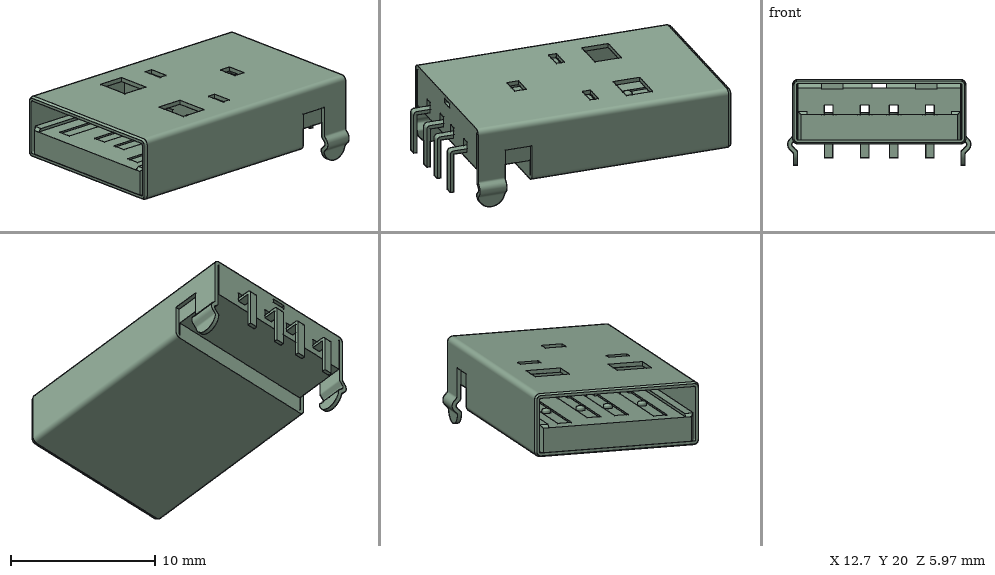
import cadquery as cq
import math


shell_width = 12.01
shell_height = 4.48
shell_length = 18.8
wall = 0.3
corner_radius = 0.4
mouth_bevel_length = 0.2
mouth_bevel_height = 0.1
floor_length = 14.81
side_cut_depth = 1.8
inner_width = shell_width - 2 * wall
inner_bottom = shell_height - wall

latch_x, latch_front, latch_width, latch_length = 3.0, 5.17, 2.5, 1.96
slot_x, slot_front, slot_width, slot_length = 3.25, 9.1, 1.5, 0.6
center_front, center_width, center_length = 13.2, 1.5, 0.86

side_clearance = 0.06
housing_width = inner_width - 2 * side_clearance
tongue_front = 0.05
tongue_depth = 2.45
tongue_bevel_width = 0.22
tongue_bevel_length = 0.32
rail_width = 0.65
rail_height = 0.2
rail_bevel_length = 0.25
block_front = 8.69
block_lead_length = 0.48
block_lead_depth = 0.3
block_bottom = 3.06
keyway_width = 1.0
pocket_margin = 0.32
lead_notch_back = block_front + block_lead_length
lead_notch_depth = 0.66

contact_positions = (-3.5, -1.0, 1.0, 3.5)
contact_slot_width = 1.0
outer_slot_front = 1.1
inner_slot_front = 2.1
contact_hole_top = 1.78
pin_width = 0.6
pin_thickness = 0.26
pin_top = 2.3
pin_front = 12.01
pin_back = 20.02
pin_bottom = 5.45
button_radius = 0.32
button_y = 4.98
button_rounding = 0.15
contact_floor = pin_top + pin_thickness

tab_span = 12.7
tab_length = 2.0
tab_bottom = 5.97
tab_apex_depth = 4.5
tab_apex_radius = 0.5
tab_bend_radius = 0.2
tab_leg_x = 5.95


def box(x_center, x_size, y_front, y_back, depth_top, depth_bottom):
    """Block given by its X centre and size, Y limits and depth limits."""
    size = (x_size, y_back - y_front, depth_bottom - depth_top)
    corner = (x_center - x_size / 2, y_front, -depth_bottom)
    return cq.Workplane("XY").box(*size, centered=False).translate(corner)


def make_shell():
    outer = box(0, shell_width, 0, shell_length, 0, shell_height).edges("|Y").fillet(corner_radius)
    outer = outer.faces("<Y").chamfer(mouth_bevel_height, mouth_bevel_length)
    cavity = box(0, inner_width, 0, shell_length, wall, inner_bottom)
    cavity = cavity.edges("|Y").fillet(corner_radius - wall)
    shell = outer.cut(cavity)
    shell = shell.cut(box(0, shell_width, floor_length, shell_length, side_cut_depth, shell_height))
    for side in (-1, 1):
        shell = shell.cut(
            box(side * latch_x, latch_width, latch_front, latch_front + latch_length, 0, wall)
        )
        shell = shell.cut(
            box(side * slot_x, slot_width, slot_front, slot_front + slot_length, 0, wall)
        )
    return shell.cut(box(0, center_width, center_front, center_front + center_length, 0, wall))


def make_tongue_bevel():
    """Wedge removed from the right-hand front edge of the tongue."""
    side_x = housing_width / 2
    corners = [
        (side_x, tongue_front),
        (side_x - tongue_bevel_width, tongue_front),
        (side_x, tongue_front + tongue_bevel_length),
    ]
    return cq.Workplane("XY").polyline(corners).close().extrude(-shell_height)


def make_tongue():
    tongue = box(0, housing_width, tongue_front, floor_length, tongue_depth - rail_height, inner_bottom)
    tongue = tongue.faces("<Y").edges(">Z").chamfer(rail_height, rail_bevel_length)
    tongue = tongue.cut(make_tongue_bevel()).cut(make_tongue_bevel().mirror("YZ"))
    between_rails = housing_width - 2 * rail_width
    return tongue.cut(box(0, between_rails, 0, block_front, 0, tongue_depth))


def make_block():
    block = box(0, housing_width, block_front, shell_length, wall, block_bottom)
    block = block.edges("<Y and >Z").chamfer(block_lead_depth, block_lead_length)
    keyway_bottom = wall + block_lead_depth
    block = block.cut(box(0, keyway_width, block_front, shell_length, wall, keyway_bottom))
    pocket_front = center_front - pocket_margin
    pocket_back = center_front + center_length + pocket_margin
    pocket_width = center_width + 2 * pocket_margin
    block = block.cut(box(0, pocket_width, pocket_front, pocket_back, wall, keyway_bottom))
    for side in (-1, 1):
        block = block.cut(
            box(side * slot_x, slot_width, block_front, lead_notch_back, wall, lead_notch_depth)
        )
    return block


def make_pin(x):
    """Bar through the block that turns down behind it."""
    bend_limit = pin_back - pin_thickness
    pin = box(x, pin_width, pin_front, pin_back, pin_top, contact_floor)
    pin = pin.union(box(x, pin_width, bend_limit, pin_back, pin_top, pin_bottom))
    return pin.edges(">Y and >Z").fillet(pin_thickness)


def make_button(x):
    """Rounded contact point standing on the floor of a contact slot."""
    button = cq.Workplane("XY").circle(button_radius).extrude(contact_floor - pin_top)
    button = button.faces(">Z").edges().fillet(button_rounding)
    return button.translate((x, button_y, -contact_floor))


def make_tab():
    """Right-hand tab: a strip bent outwards and back, with a round end."""
    wall_x = shell_width / 2
    apex_x = tab_span / 2 + tab_apex_radius * (math.sqrt(2) - 1)
    bend_out = tab_apex_depth - (apex_x - wall_x)
    bend_down = tab_apex_depth + (apex_x - tab_leg_x)
    miter = wall * math.tan(math.pi / 8)
    inner_apex_x = apex_x - wall * math.sqrt(2)
    outline = [
        (wall_x, -side_cut_depth),
        (wall_x, -bend_out),
        (apex_x, -tab_apex_depth),
        (tab_leg_x, -bend_down),
        (tab_leg_x, -tab_bottom),
        (tab_leg_x - wall, -tab_bottom),
        (tab_leg_x - wall, -(bend_down - miter)),
        (inner_apex_x, -tab_apex_depth),
        (wall_x - wall, -(bend_out + miter)),
        (wall_x - wall, -side_cut_depth),
    ]
    strip = cq.Workplane("XZ", origin=(0, shell_length, 0)).polyline(outline).close().extrude(tab_length)

    def round_bend(body, point, radius):
        nearest = cq.selectors.NearestToPointSelector(
            (point[0], shell_length - tab_length / 2, point[1])
        )
        return body.edges("|Y").edges(nearest).fillet(radius)

    strip = round_bend(strip, outline[1], tab_bend_radius)
    strip = round_bend(strip, outline[2], tab_apex_radius)
    strip = round_bend(strip, outline[3], tab_bend_radius)
    strip = round_bend(strip, outline[6], tab_bend_radius)
    strip = round_bend(strip, outline[7], tab_apex_radius - wall)
    strip = round_bend(strip, outline[8], tab_bend_radius)

    end_radius = tab_length / 2
    end_center_depth = tab_bottom - end_radius
    side_shape = (
        cq.Workplane("YZ")
        .moveTo(shell_length, -side_cut_depth)
        .lineTo(shell_length, -end_center_depth)
        .threePointArc(
            (shell_length - end_radius, -tab_bottom),
            (shell_length - tab_length, -end_center_depth),
        )
        .lineTo(shell_length - tab_length, -side_cut_depth)
        .close()
        .extrude(tab_span)
    )
    return strip.intersect(side_shape)


housing = make_tongue().union(make_block())
for x in contact_positions:
    slot_start = outer_slot_front if abs(x) == max(contact_positions) else inner_slot_front
    housing = housing.cut(
        box(x, contact_slot_width, slot_start, block_front, tongue_depth, contact_floor)
    )
    housing = housing.cut(
        box(x, pin_width, block_front, shell_length, contact_hole_top, contact_floor)
    )

result = make_shell().union(housing)
for x in contact_positions:
    result = result.union(make_pin(x)).union(make_button(x))

tab = make_tab()
result = result.union(tab).union(tab.mirror("YZ"))